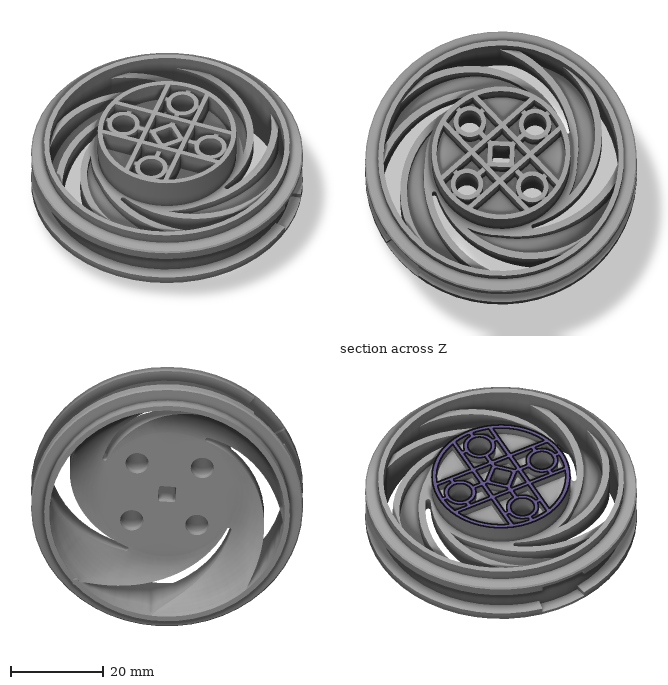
import cadquery as cq
import math

nub_drop = 0.35
rim_bottom = nub_drop
rim_top = 15.4
rim_bore_radius = 25.5
shoulder_radius = 26.6
groove_diameter = 54.1
groove_radius = groove_diameter / 2
flange_radius = 29.45
flange_chamfer = 0.3
lower_flange_bottom = 2.95
lower_flange_top = 5.0
upper_flange_bottom = 10.95
upper_flange_top = 13.1

notch_half_angle = math.radians(10)
notch_depth = 1.05

nub_radius = 0.7

hub_radius = 15.0
hub_wall = 1.05
hub_top = 19.5
hub_cell_depth = 4.7
hub_floor = hub_top - hub_cell_depth
boss_recess = 1.0
boss_top = hub_top - boss_recess
web_thickness = 1.0
web_offset = 4.5
pin_hole_diameter = 5.0
pin_hole_radius = pin_hole_diameter / 2
pin_hole_offset = 10.0
pin_boss_radius = pin_hole_radius + web_thickness
pin_hole_angles = (0, 90, 180, 270)
square_hole_side = 3.75
square_hole_corner = 0.3
square_boss_side = square_hole_side + 2 * web_thickness
square_turn = 45

spoke_count = 4
spoke_top = 12.2
edge_width = 1.5
slot_inner_center = (-4.65, -4.55)
slot_inner_radius = 21.5
slot_outer_center = (-8.05, -3.8)
slot_outer_radius = 23.55
slot_inner_angles = (65, 185)
slot_outer_angles = (57, 140)
slot_tip_bulge = 0.5
dome_flat_radius = 15.3
dome_radius = 11.8
pocket_depth = 1.6
dome_crown = spoke_top - pocket_depth
dome_thickness = 1.5


def disc(radius, bottom, top, center=(0, 0)):
    """Solid cylinder standing along Z between two heights."""
    return cq.Workplane("XY", origin=(*center, bottom)).circle(radius).extrude(top - bottom)


def box(size_x, size_y, bottom, top, center=(0, 0)):
    """Upright rectangular block between two heights."""
    return cq.Workplane("XY", origin=(*center, bottom)).rect(size_x, size_y).extrude(top - bottom)


def turn(shape, degrees):
    """Copy of a shape turned about the wheel axis."""
    return shape.rotate((0, 0, 0), (0, 0, 1), degrees)


def polar(center, radius, degrees):
    """Point on a circle at an angle from +X."""
    angle = math.radians(degrees)
    return (center[0] + radius * math.cos(angle), center[1] + radius * math.sin(angle))


def make_notches():
    """Wedges at -X and +X that cut the flanges down to the groove."""
    reach = 2 * flange_radius
    half_width = reach * math.tan(notch_half_angle)
    wedges = (
        cq.Workplane("XY", origin=(0, 0, lower_flange_top - notch_depth))
        .polyline([(0, 0), (reach, -half_width), (reach, half_width)]).close()
        .polyline([(0, 0), (-reach, -half_width), (-reach, half_width)]).close()
        .extrude(upper_flange_bottom - lower_flange_top + 2 * notch_depth)
    )
    return wedges.cut(disc(groove_radius, rim_bottom, rim_top))


def make_rim():
    lower_flange = disc(flange_radius, lower_flange_bottom, lower_flange_top)
    upper_flange = disc(flange_radius, upper_flange_bottom, upper_flange_top)
    return (
        disc(shoulder_radius, rim_bottom, rim_top)
        .union(disc(groove_radius, lower_flange_bottom, upper_flange_top))
        .union(lower_flange.faces("<Z").edges().chamfer(flange_chamfer))
        .union(upper_flange.faces(">Z").edges().chamfer(flange_chamfer))
        .cut(make_notches())
        .cut(disc(rim_bore_radius, rim_bottom, rim_top))
    )


def make_slot():
    """Swirling opening between two arcs, rounded at the hub and open to the rim bore."""
    inner_tip = polar(slot_inner_center, slot_inner_radius, slot_inner_angles[0])
    inner_mid = polar(slot_inner_center, slot_inner_radius, sum(slot_inner_angles) / 2)
    inner_end = polar(slot_inner_center, slot_inner_radius, slot_inner_angles[1])
    outer_tip = polar(slot_outer_center, slot_outer_radius, slot_outer_angles[0])
    outer_mid = polar(slot_outer_center, slot_outer_radius, sum(slot_outer_angles) / 2)
    outer_end = polar(slot_outer_center, slot_outer_radius, slot_outer_angles[1])
    slot = (
        cq.Workplane("XY", origin=(0, 0, rim_bottom))
        .moveTo(*inner_tip)
        .threePointArc(inner_mid, inner_end)
        .lineTo(*outer_end)
        .threePointArc(outer_mid, outer_tip)
        .sagittaArc(inner_tip, slot_tip_bulge)
        .close()
        .extrude(spoke_top - rim_bottom)
    )
    return slot.intersect(disc(rim_bore_radius, rim_bottom, spoke_top))


def dome_body(radius, crown):
    """Solid under a dome: flat near the axis, then a round fall towards the bore."""
    run = rim_bore_radius - dome_flat_radius
    sweep = math.asin(run / radius)

    def on_arc(angle):
        return (dome_flat_radius + radius * math.sin(angle), crown - radius * (1 - math.cos(angle)))

    return (
        cq.Workplane("XZ")
        .lineTo(0, crown)
        .lineTo(dome_flat_radius, crown)
        .threePointArc(on_arc(sweep / 2), on_arc(sweep))
        .lineTo(rim_bore_radius, 0)
        .close()
        .revolve(360, (0, 0, 0), (0, 1, 0))
    )


def make_pocket():
    """Crescent above the dome, set in from the two slots beside it and from the hub."""
    next_slot_center = (-slot_outer_center[1], slot_outer_center[0])
    return (
        disc(slot_inner_radius - edge_width, rim_bottom, spoke_top, slot_inner_center)
        .cut(disc(slot_outer_radius + edge_width, rim_bottom, spoke_top, next_slot_center))
        .cut(disc(hub_radius + edge_width, rim_bottom, spoke_top))
        .intersect(disc(rim_bore_radius, rim_bottom, spoke_top))
        .cut(dome_body(dome_radius, dome_crown))
    )


def make_spokes():
    spokes = disc(rim_bore_radius, rim_bottom, spoke_top)
    slot = make_slot()
    pocket = make_pocket()
    for index in range(spoke_count):
        angle = index * 360 / spoke_count
        spokes = spokes.cut(turn(slot, angle)).cut(turn(pocket, angle))
    return spokes


def make_hub():
    bore = disc(hub_radius - hub_wall, hub_floor, hub_top)
    span = 2 * hub_radius

    webs = cq.Workplane("XY")
    for side in (-web_offset, web_offset):
        webs = webs.union(box(web_thickness, span, hub_floor, hub_top, (side, 0)))
        webs = webs.union(box(span, web_thickness, hub_floor, hub_top, (0, side)))

    webs = webs.union(turn(box(square_boss_side, square_boss_side, hub_floor, boss_top), square_turn))
    webs = webs.union(box(span, web_thickness, hub_floor, boss_top))
    webs = webs.union(box(web_thickness, span, hub_floor, boss_top))
    pin_boss = disc(pin_boss_radius, hub_floor, boss_top, (pin_hole_offset, 0)).union(
        box(web_thickness, 2 * web_offset, hub_floor, boss_top, (pin_hole_offset, 0))
    )
    for angle in pin_hole_angles:
        webs = webs.union(turn(pin_boss, angle))

    return disc(hub_radius, rim_bottom, hub_top).cut(bore).union(webs.intersect(bore))


def make_hub_holes():
    square = box(square_hole_side, square_hole_side, rim_bottom, hub_top)
    holes = turn(square.edges("|Z").chamfer(square_hole_corner), square_turn)
    pin_hole = disc(pin_hole_radius, rim_bottom, hub_top, (pin_hole_offset, 0))
    for angle in pin_hole_angles:
        holes = holes.union(turn(pin_hole, angle))
    return holes


def make_nub():
    return disc(nub_radius, 0, rim_bottom, (nub_radius - shoulder_radius, 0))


underside = dome_body(dome_radius - dome_thickness, dome_crown - dome_thickness)
core = make_spokes().union(make_hub()).cut(underside).cut(make_hub_holes())
result = make_rim().union(core).union(make_nub())